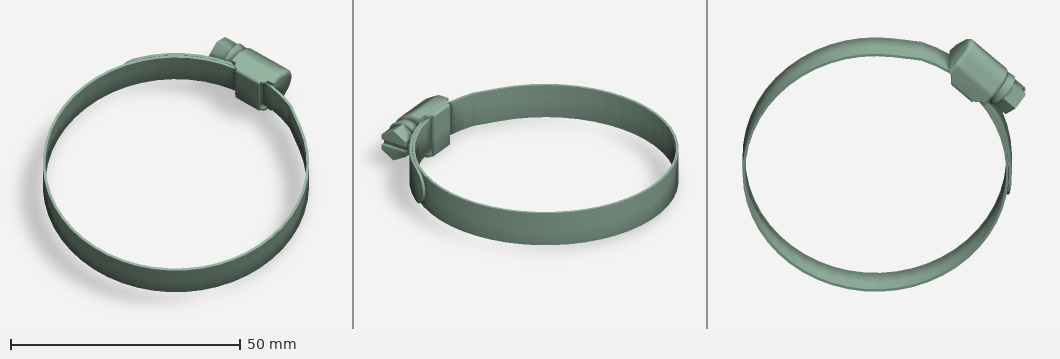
import cadquery as cq
import math


ring_radius = 29.05
band_thickness = 0.6
band_width = 8.0
lap_gap = 0.05
start_angle = 84.0
step_low_angle = 54.5
step_high_angle = 66.6
tail_tip_angle = 150.0

ring_inner_radius = ring_radius - band_thickness
lap_inner_radius = ring_radius + lap_gap
lap_outer_radius = lap_inner_radius + band_thickness
tail_round_radius = band_width / 2
tail_round_angle = tail_tip_angle - math.degrees(tail_round_radius / lap_outer_radius)

housing_length = 11.6
housing_width = 10.4
housing_top = 36.4
housing_base = 29.0
dome_radius = 4.2
dome_end_angle = 59.0
shoulder_radius = 1.95
end_round_radius = 0.9
strap_length = 6.2
strap_bottom = 27.2
strap_thickness = 0.6
strap_corner_radius = 0.6
side_wall_length = 8.3
side_wall_corner_radius = (side_wall_length - strap_length) / 2
screw_height = housing_top - dome_radius

head_length = 3.65
head_across_flats = 6.35
slot_width = 1.4
slot_depth = 1.0
collar_length = 2.1
collar_front_radius = 4.0
collar_rear_radius = 3.8
collar_bevel_length = 0.25

housing_front = -housing_length / 2
collar_front = housing_front - collar_length
head_front = collar_front - head_length
head_across_corners = head_across_flats / math.cos(math.radians(30))


def polar(radius, angle):
    """Point in the XY plane at an angle in degrees from +X."""
    return (radius * math.cos(math.radians(angle)), radius * math.sin(math.radians(angle)))


def arc_to(sketch, radius, from_angle, to_angle):
    """Continue an outline along an arc about the ring axis."""
    middle_angle = (from_angle + to_angle) / 2
    return sketch.threePointArc(polar(radius, middle_angle), polar(radius, to_angle))


def extrude_band_outline(sketch):
    return sketch.close().extrude(band_width / 2, both=True)


def make_tail_tip():
    """Half-round end of the lapping strip, curved with the ring."""
    sketch = cq.Workplane("XY").moveTo(*polar(lap_inner_radius, tail_round_angle))
    sketch = arc_to(sketch, lap_inner_radius, tail_round_angle, tail_tip_angle)
    sketch = sketch.lineTo(*polar(lap_outer_radius, tail_tip_angle))
    sketch = arc_to(sketch, lap_outer_radius, tail_tip_angle, tail_round_angle)
    square_tip = extrude_band_outline(sketch)
    round_post = (
        cq.Workplane("YZ")
        .circle(tail_round_radius)
        .extrude(2 * lap_outer_radius)
        .rotate((0, 0, 0), (0, 0, 1), tail_round_angle)
    )
    return square_tip.intersect(round_post)


def make_band():
    step_low_turn = step_low_angle + 360
    sketch = cq.Workplane("XY").moveTo(*polar(ring_inner_radius, start_angle))
    sketch = arc_to(sketch, ring_inner_radius, start_angle, step_low_turn)
    sketch = sketch.lineTo(*polar(lap_inner_radius, step_high_angle))
    sketch = arc_to(sketch, lap_inner_radius, step_high_angle, tail_round_angle)
    sketch = sketch.lineTo(*polar(lap_outer_radius, tail_round_angle))
    sketch = arc_to(sketch, lap_outer_radius, tail_round_angle, step_high_angle)
    sketch = sketch.lineTo(*polar(ring_radius, step_low_turn))
    sketch = arc_to(sketch, ring_radius, step_low_turn, start_angle)
    return extrude_band_outline(sketch).union(make_tail_tip())


def make_housing_block():
    """Domed block with flanks that slope out to rounded shoulders; both ends are rounded."""
    half_width = housing_width / 2
    slope = math.radians(dome_end_angle)
    dome_end_y = screw_height + dome_radius * math.cos(slope)
    dome_end_z = dome_radius * math.sin(slope)
    shoulder_start_z = half_width - shoulder_radius * (1 - math.sin(slope))
    flank_length_y = (shoulder_start_z - dome_end_z) * math.tan(slope)
    shoulder_start_y = dome_end_y - flank_length_y
    shoulder_end_y = shoulder_start_y - shoulder_radius * math.cos(slope)
    shoulder_middle_angle = (slope + math.pi / 2) / 2
    shoulder_middle_y = shoulder_end_y + shoulder_radius * math.cos(shoulder_middle_angle)
    shoulder_middle_z = half_width - shoulder_radius * (1 - math.sin(shoulder_middle_angle))
    return (
        cq.Workplane("YZ")
        .moveTo(housing_base, -half_width)
        .lineTo(shoulder_end_y, -half_width)
        .threePointArc((shoulder_middle_y, -shoulder_middle_z), (shoulder_start_y, -shoulder_start_z))
        .lineTo(dome_end_y, -dome_end_z)
        .threePointArc((housing_top, 0), (dome_end_y, dome_end_z))
        .lineTo(shoulder_start_y, shoulder_start_z)
        .threePointArc((shoulder_middle_y, shoulder_middle_z), (shoulder_end_y, half_width))
        .lineTo(housing_base, half_width)
        .close()
        .extrude(housing_length / 2, both=True)
        .faces("<X or >X")
        .edges()
        .fillet(end_round_radius)
    )


def make_strap():
    """Side walls joined by a narrower floor that passes under the band."""
    strap_top = housing_base + end_round_radius
    strap_height = strap_top - strap_bottom
    strap_middle = (strap_top + strap_bottom) / 2
    floor_top = strap_bottom + strap_thickness
    outside = (
        cq.Workplane("XY")
        .box(side_wall_length, strap_height, housing_width)
        .translate((0, strap_middle, 0))
        .edges("|X and <Y")
        .fillet(strap_corner_radius)
    )
    wall_outline = (
        cq.Workplane("XY")
        .box(side_wall_length, strap_top - floor_top, housing_width)
        .translate((0, (strap_top + floor_top) / 2, 0))
        .edges("|Z and <Y")
        .fillet(side_wall_corner_radius)
    )
    floor_outline = (
        cq.Workplane("XY")
        .box(strap_length, strap_height, housing_width)
        .translate((0, strap_middle, 0))
    )
    channel_width = housing_width - 2 * strap_thickness
    channel = (
        cq.Workplane("XY")
        .box(housing_length, strap_top - floor_top, channel_width)
        .translate((0, (strap_top + floor_top) / 2, 0))
    )
    return outside.intersect(wall_outline.union(floor_outline)).cut(channel)


def make_band_seat():
    """Disc that clears the outer surface of the band, used to seat other bodies on it."""
    return cq.Workplane("XY").circle(lap_outer_radius).extrude(band_width / 2, both=True)


def make_housing():
    return make_housing_block().cut(make_band_seat()).union(make_strap())


def make_screw():
    """Slotted hexagon head and bevelled collar, trimmed where the tail of the band passes beneath it."""
    screw_plane = cq.Workplane("YZ").center(screw_height, 0)
    head = (
        screw_plane.workplane(offset=head_front)
        .transformed(rotate=(0, 0, 90))
        .polygon(6, head_across_corners)
        .extrude(head_length)
    )
    slot = (
        cq.Workplane("XY")
        .box(slot_depth, 2 * head_across_flats, slot_width)
        .translate((head_front + slot_depth / 2, screw_height, 0))
    )
    collar = (
        cq.Workplane("XY")
        .moveTo(collar_front, 0)
        .lineTo(collar_front, head_across_corners / 2)
        .lineTo(collar_front + collar_bevel_length, collar_front_radius)
        .lineTo(housing_front, collar_rear_radius)
        .lineTo(housing_front, 0)
        .close()
        .revolve(360, (0, 0, 0), (1, 0, 0))
        .translate((0, screw_height, 0))
        .cut(make_band_seat())
    )
    return head.cut(slot).union(collar)


band = make_band()
housing = make_housing()
screw = make_screw()

result = cq.Compound.makeCompound([band.val(), housing.val(), screw.val()])